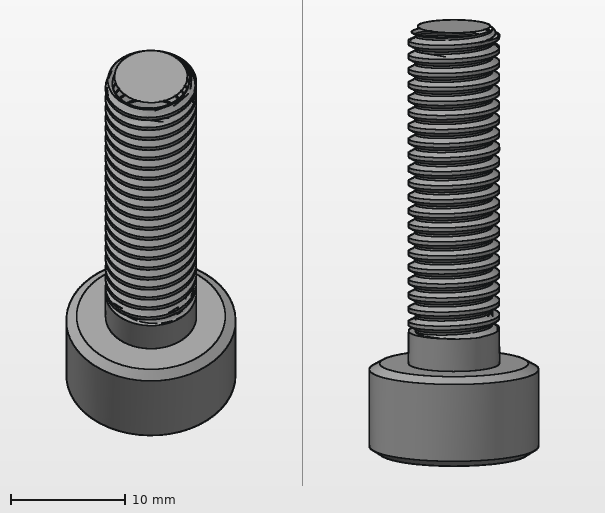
import cadquery as cq
import math

total_length = 38.0

head_radius = 7.43
head_height = 7.98
head_chamfer_width = 0.9
head_top_chamfer_height = head_chamfer_width * math.tan(math.radians(30))
head_bottom_chamfer_height = 0.6

shank_radius = 4.0
thread_bottom = 10.85
tip_chamfer = 0.8

pitch = 1.25
groove_depth = 0.6
root_flat = 0.2
flank_slope = math.tan(math.radians(30))
groove_overshoot = 0.1
groove_height_at_x = 11.35
run_out_turns = 1


def make_head():
    """Cylindrical head with a cone-shaped chamfer at both ends."""
    chamfer_radius = head_radius - head_chamfer_width
    profile = [
        (0, 0),
        (chamfer_radius, 0),
        (head_radius, head_bottom_chamfer_height),
        (head_radius, head_height - head_top_chamfer_height),
        (chamfer_radius, head_height),
        (0, head_height),
    ]
    return cq.Workplane("XZ").polyline(profile).close().revolve(360, (0, 0), (0, 1))


def make_plain_shank():
    """Unthreaded length between the head and the thread."""
    length = thread_bottom - head_height
    return cq.Workplane("XY").workplane(offset=head_height).circle(shank_radius).extrude(length)


def make_groove_cutter():
    """Right-handed helical cutter running past both ends of the thread."""
    start = groove_height_at_x - run_out_turns * pitch
    thread_turns = math.ceil((total_length - thread_bottom) / pitch)
    turns = thread_turns + 2 * run_out_turns
    root_radius = shank_radius - groove_depth
    outer_radius = shank_radius + groove_overshoot
    root_half = root_flat / 2
    outer_half = root_half + (groove_depth + groove_overshoot) * flank_slope

    helix = cq.Wire.makeHelix(pitch, turns * pitch, root_radius)
    path = cq.Workplane("XY").newObject([helix])
    profile = [
        (root_radius, -root_half),
        (outer_radius, -outer_half),
        (outer_radius, outer_half),
        (root_radius, root_half),
    ]
    cutter = cq.Workplane("XZ").polyline(profile).close().sweep(path, isFrenet=True)
    return cutter.translate((0, 0, start))


def make_tip_cutter():
    """Ring that leaves a 45 degree chamfer around the tip."""
    clearance = 0.38
    outer_radius = shank_radius + clearance
    profile = [
        (shank_radius - tip_chamfer - clearance, total_length + clearance),
        (outer_radius, total_length - tip_chamfer - clearance),
        (outer_radius, total_length + clearance),
    ]
    return cq.Workplane("XZ").polyline(profile).close().revolve(360, (0, 0), (0, 1))


def make_threaded_shank():
    """Rod with the helical groove cut along its whole length and a chamfered tip."""
    rod = cq.Workplane("XY").workplane(offset=thread_bottom).circle(shank_radius)
    rod = rod.extrude(total_length - thread_bottom)
    return rod.cut(make_groove_cutter()).cut(make_tip_cutter())


result = make_head().union(make_plain_shank()).union(make_threaded_shank())